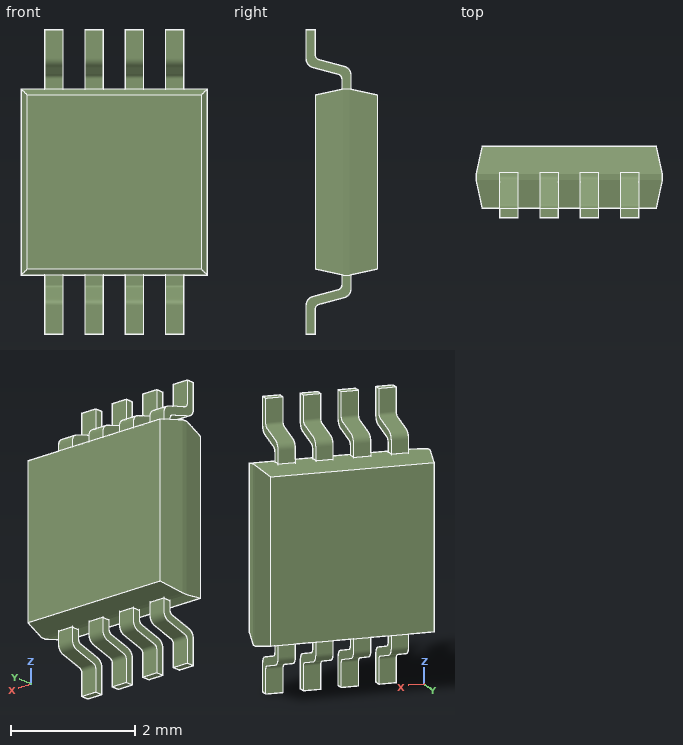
import cadquery as cq
import math

LEAD_SPAN = 4.9
BODY_SIDE = 3.0
BODY_THICKNESS = 1.0

BAND_THICKNESS = 0.1
FACE_INSET = 0.1

LEADS_PER_SIDE = 4
LEAD_PITCH = 0.645
LEAD_WIDTH = 0.3
LEAD_THICKNESS = 0.15
FOOT_FRONT_Y = -0.65
SHOULDER_LENGTH = 0.215
SLOPE_ANGLE = 15.0
SEAT_DEPTH = 0.1
OUTER_BEND_RADIUS = LEAD_THICKNESS
INNER_BEND_RADIUS = LEAD_THICKNESS / 2


def make_body():
    """Square package, centred on the origin, tapering towards both Y faces."""
    taper_height = (BODY_THICKNESS - BAND_THICKNESS) / 2
    taper_angle = math.degrees(math.atan2(FACE_INSET, taper_height))
    band = cq.Workplane("XY").box(BODY_SIDE, BAND_THICKNESS, BODY_SIDE)
    front_half = (
        cq.Workplane("XZ", origin=(0, -BAND_THICKNESS / 2, 0))
        .rect(BODY_SIDE, BODY_SIDE)
        .extrude(taper_height, taper=taper_angle)
    )
    back_half = front_half.mirror("XZ")
    return band.union(front_half).union(back_half)


def make_lead():
    """One lead on the +Z side, centred on X = 0, running from its seat to its tip."""
    root_z = BODY_SIDE / 2 - SEAT_DEPTH
    tip_z = LEAD_SPAN / 2
    shoulder_front_y = -LEAD_THICKNESS / 2
    shoulder_back_y = LEAD_THICKNESS / 2
    foot_back_y = FOOT_FRONT_Y + LEAD_THICKNESS

    slope_rise = (shoulder_front_y - FOOT_FRONT_Y) * math.tan(math.radians(SLOPE_ANGLE))
    mitre = LEAD_THICKNESS * math.tan(math.radians((90 - SLOPE_ANGLE) / 2))
    shoulder_inner = (shoulder_front_y, BODY_SIDE / 2 + SHOULDER_LENGTH)
    shoulder_outer = (shoulder_back_y, shoulder_inner[1] + mitre)
    foot_outer = (FOOT_FRONT_Y, shoulder_inner[1] + slope_rise)
    foot_inner = (foot_back_y, foot_outer[1] + mitre)

    blank = (
        cq.Workplane("YZ")
        .polyline([
            (shoulder_front_y, root_z),
            shoulder_inner,
            foot_outer,
            (FOOT_FRONT_Y, tip_z),
            (foot_back_y, tip_z),
            foot_inner,
            shoulder_outer,
            (shoulder_back_y, root_z),
        ])
        .close()
        .extrude(LEAD_WIDTH / 2, both=True)
    )
    return round_corners(
        round_corners(blank, [shoulder_outer, foot_outer], OUTER_BEND_RADIUS),
        [shoulder_inner, foot_inner],
        INNER_BEND_RADIUS,
    )


def round_corners(lead, corners, radius):
    """Fillet the edges that run along X through the given (y, z) corners."""
    for y, z in corners:
        lead = lead.edges(cq.selectors.NearestToPointSelector((0, y, z))).fillet(radius)
    return lead


leads = []
upper_lead = make_lead()
lower_lead = upper_lead.mirror("XY")
for i in range(LEADS_PER_SIDE):
    lead_x = (i - (LEADS_PER_SIDE - 1) / 2) * LEAD_PITCH
    for lead in (upper_lead, lower_lead):
        leads.append(lead.translate((lead_x, 0, 0)))

body = make_body()
for lead in leads:
    body = body.cut(lead)

result = cq.Compound.makeCompound([body.solids().val(), *[lead.solids().val() for lead in leads]])